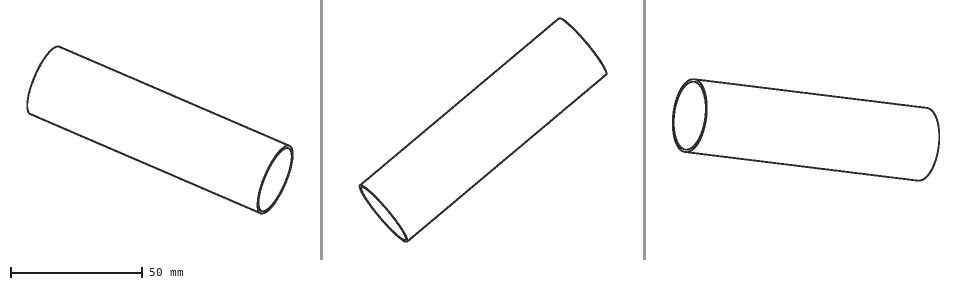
import cadquery as cq

tube_length = 100.0
outer_diameter = 28.0
wall_thickness = 1.0

inner_diameter = outer_diameter - 2 * wall_thickness


def make_tube():
    """Plain round tube along X, open at both ends and centred on the origin."""
    end_plane = cq.Workplane("YZ", origin=(-tube_length / 2, 0, 0))
    ring = end_plane.circle(outer_diameter / 2).circle(inner_diameter / 2)
    return ring.extrude(tube_length)


result = make_tube()